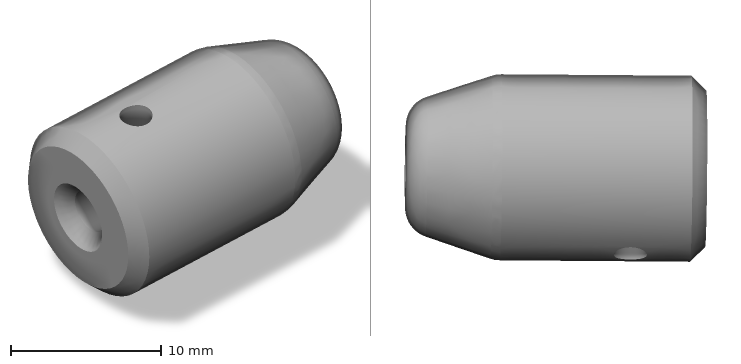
import cadquery as cq

length = 20.0
body_diameter = 12.4
front_chamfer = 1.0
taper_start = 14.0
nose_diameter = 8.4
rounding_radius = 2.0

bore_diameter = 3.0
countersink_depth = 1.0
cross_hole_diameter = 2.2
cross_hole_place = 5.02
yaw_angle = 20

body_radius = body_diameter / 2
nose_radius = nose_diameter / 2
bore_radius = bore_diameter / 2


def revolve_about_axis(points):
    """Revolve a closed (radius, axial place) outline about the Y axis."""
    return cq.Workplane("XY").polyline(points).close().revolve(360, (0, 0, 0), (0, 1, 0))


def make_body():
    """Chamfered cylinder with a tapered nose, rounded at both ends of the taper."""
    blank = revolve_about_axis([
        (0, 0),
        (body_radius - front_chamfer, 0),
        (body_radius, front_chamfer),
        (body_radius, taper_start),
        (nose_radius, length),
        (0, length),
    ])
    return blank.faces("%CONE").faces(">Y").edges("%CIRCLE").fillet(rounding_radius)


def make_bore():
    """Through bore with a conical countersink at the front face."""
    return revolve_about_axis([
        (0, 0),
        (bore_radius + countersink_depth, 0),
        (bore_radius, countersink_depth),
        (bore_radius, length),
        (0, length),
    ])


def make_cross_hole():
    """Vertical hole through both walls of the body."""
    return (
        cq.Workplane("XY")
        .center(0, cross_hole_place)
        .circle(cross_hole_diameter / 2)
        .extrude(body_diameter, both=True)
    )


straight_part = make_body().cut(make_bore()).cut(make_cross_hole())
centered_part = straight_part.translate((0, -length / 2, 0))
result = centered_part.rotate((0, 0, 0), (0, 0, 1), yaw_angle)